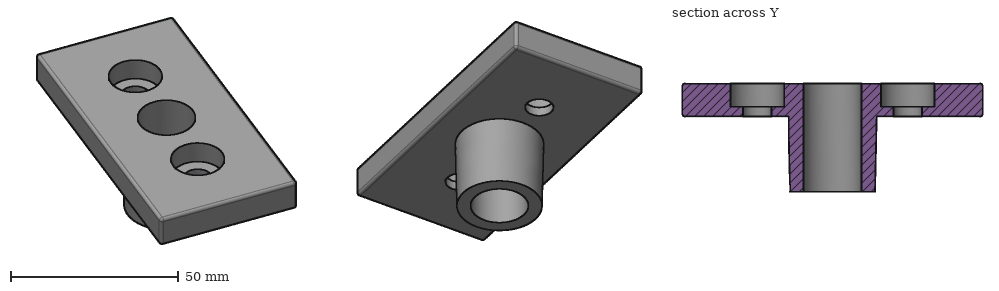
import cadquery as cq

plate_length = 90.0
plate_width = 45.0
plate_thickness = 10.0
edge_radius = 1.0

total_height = 32.5
boss_height = total_height - plate_thickness
boss_end_diameter = 25.5
boss_root_diameter = 26.5

bore_diameter = 17.29
screw_spacing = plate_length / 2
screw_hole_diameter = 8.5
counterbore_diameter = 16.0
counterbore_depth = 7.0


def make_plate():
    """Plate with every edge rounded, its underside at Z = 0."""
    plate = cq.Workplane("XY").box(
        plate_length, plate_width, plate_thickness, centered=(True, True, False)
    )
    return plate.edges().fillet(edge_radius)


def make_boss():
    """Boss that narrows from the plate underside to its lower end."""
    root_radius = boss_root_diameter / 2
    end_radius = boss_end_diameter / 2
    boss = cq.Solid.makeCone(
        root_radius, end_radius, boss_height, cq.Vector(0, 0, 0), cq.Vector(0, 0, -1)
    )
    return cq.Workplane(boss)


def cut_bore(body):
    """Straight bore on the Z axis, through the plate and the boss."""
    return body.faces(">Z").workplane(origin=(0, 0, 0)).hole(bore_diameter)


def cut_screw_holes(body):
    """Two counterbored holes, one on each side of the bore."""
    return (
        body.faces(">Z")
        .workplane(origin=(0, 0, 0))
        .rarray(screw_spacing, 1, 2, 1)
        .cboreHole(screw_hole_diameter, counterbore_diameter, counterbore_depth)
    )


result = cut_screw_holes(cut_bore(make_plate().union(make_boss())))